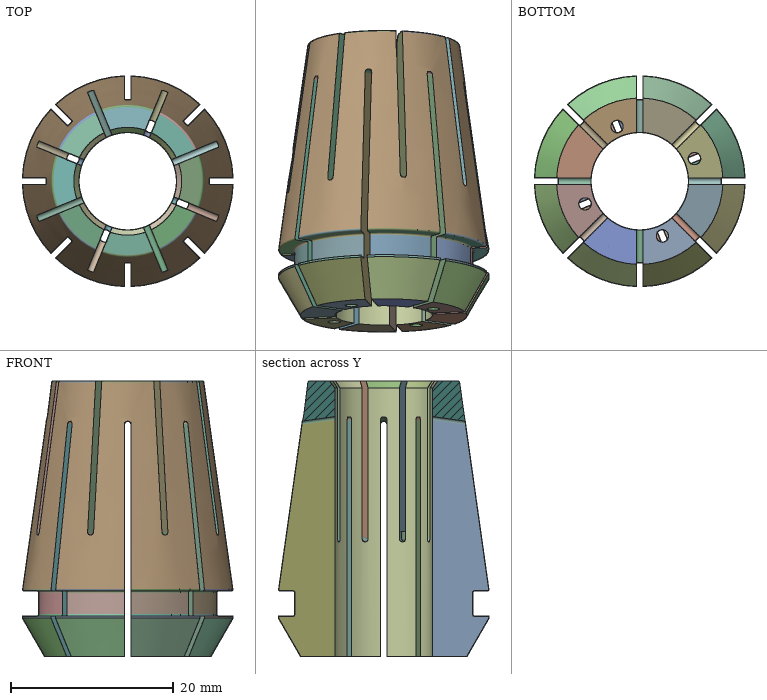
import cadquery as cq
import math

total_height = 34.0
bore_radius = 12.0 / 2
bore_chamfer_width = 0.65
bore_chamfer_depth = 0.9
edge_round = 0.2
top_edge_round = 0.25

rim_radius = 13.0
collar_height = 5.0
collar_rim_height = 0.25
collar_half_angle = math.radians(30)
collar_cone_height = collar_height - collar_rim_height
bottom_radius = rim_radius - collar_cone_height * math.tan(collar_half_angle)

groove_radius = 11.0
groove_width = 3.1
cone_base_z = collar_height + groove_width

cone_half_angle = math.radians(8)

slot_count = 8
slot_pitch = 360 / slot_count
slot_width = 0.8
lower_slot_end_z = 29.0
upper_slot_end_z = 15.0
slot_end_tilt = cone_half_angle
slot_overrun = 1.0

relief_diameter = 1.5
relief_circle_radius = 7.3
relief_count = slot_count // 2
relief_first_angle = 1.5 * slot_pitch


def cone_radius_at(z):
    """Radius of the long clamping cone at one height."""
    return rim_radius - (z - cone_base_z) * math.tan(cone_half_angle)


def ring_edges_at(radius, z):
    """Select the circular edges at one radius and height."""
    reach = radius + edge_round / 2
    inner = radius - edge_round / 2
    low, high = z - edge_round / 2, z + edge_round / 2
    box = cq.selectors.BoxSelector((-reach, -reach, low), (reach, reach, high), boundingbox=True)
    core = cq.selectors.BoxSelector((-inner, -inner, low), (inner, inner, high), boundingbox=True)
    return box - core


def make_body():
    """Revolve the half section, then round its edges."""
    top_radius = cone_radius_at(total_height)
    body = (
        cq.Workplane("XZ")
        .moveTo(bore_radius, 0)
        .lineTo(bottom_radius, 0)
        .lineTo(rim_radius, collar_cone_height)
        .lineTo(rim_radius, collar_height)
        .lineTo(groove_radius, collar_height)
        .lineTo(groove_radius, cone_base_z)
        .lineTo(rim_radius, cone_base_z)
        .lineTo(top_radius, total_height)
        .lineTo(bore_radius + bore_chamfer_width, total_height)
        .lineTo(bore_radius, total_height - bore_chamfer_depth)
        .close()
        .revolve(360, (0, 0, 0), (0, 1, 0))
    )
    rounded_rings = [
        (groove_radius, collar_height),
        (groove_radius, cone_base_z),
        (rim_radius, cone_base_z),
    ]
    for radius, z in rounded_rings:
        body = body.edges(ring_edges_at(radius, z)).fillet(edge_round)
    return body.edges(ring_edges_at(top_radius, total_height)).fillet(top_edge_round)


def make_slot(open_z, end_z, angle):
    """Radial slot cutter along +X, turned about Z.

    The half-round end passes through end_z at the cone surface and slopes
    away from the open side towards the bore.
    """
    half_width = slot_width / 2
    direction = math.copysign(1, end_z - open_z)
    outer_x = rim_radius + slot_overrun
    slope = direction * math.tan(slot_end_tilt)
    surface_axis_z = end_z - direction * half_width / math.cos(slot_end_tilt)
    centre_axis_z = surface_axis_z + slope * cone_radius_at(end_z)
    outer_axis_z = centre_axis_z - slope * outer_x
    start_z = open_z - direction * slot_overrun
    slab = (
        cq.Workplane("XZ")
        .moveTo(0, start_z)
        .lineTo(outer_x, start_z)
        .lineTo(outer_x, outer_axis_z)
        .lineTo(0, centre_axis_z)
        .close()
        .extrude(half_width, both=True)
    )
    round_end = cq.Solid.makeCylinder(
        half_width,
        outer_x / math.cos(slot_end_tilt),
        cq.Vector(0, 0, centre_axis_z),
        cq.Vector(1, 0, -slope),
    )
    return slab.union(cq.Workplane(round_end)).rotate((0, 0, 0), (0, 0, 1), angle)


def cut_slots(body):
    """Cut the lower slots and, halfway between them, the upper slots."""
    for index in range(slot_count):
        lower_angle = index * slot_pitch
        upper_angle = lower_angle + slot_pitch / 2
        body = body.cut(make_slot(0, lower_slot_end_z, lower_angle))
        body = body.cut(make_slot(total_height, upper_slot_end_z, upper_angle))
    return body


def cut_relief_holes(body):
    """Drill from the bottom face up into the upper slots."""
    depth = upper_slot_end_z + slot_width / 2
    holes = (
        cq.Workplane("XY")
        .polarArray(relief_circle_radius, relief_first_angle, 360, relief_count)
        .circle(relief_diameter / 2)
        .extrude(depth)
    )
    return body.cut(holes)


result = cut_relief_holes(cut_slots(make_body()))